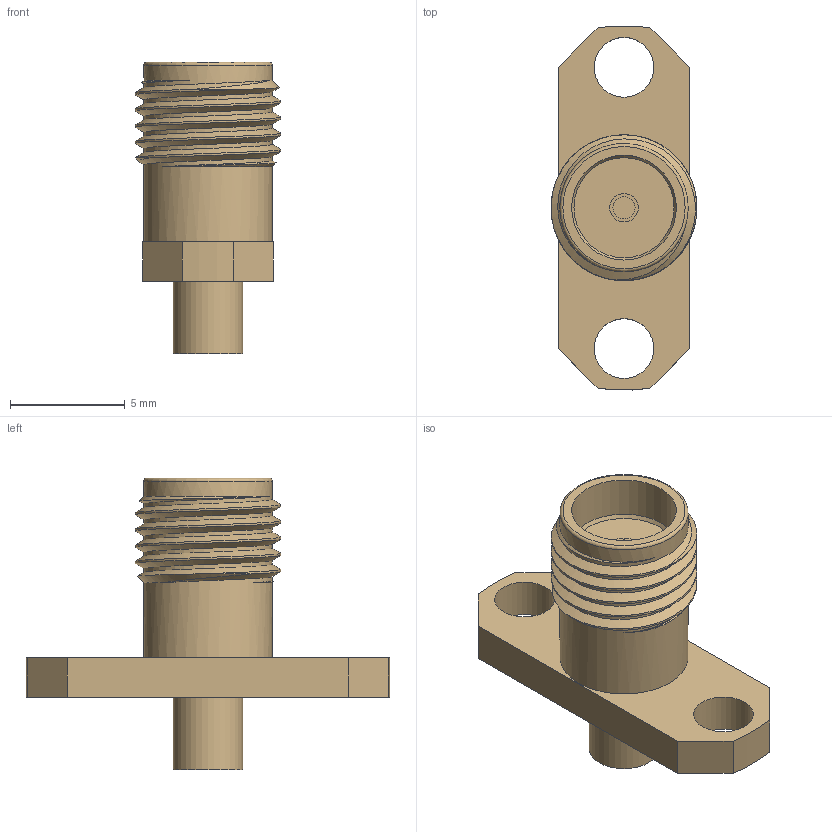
import cadquery as cq
import math

flange_width = 5.7
flange_length = 15.86
flange_thickness = 1.72
corner_end_half_width = 1.13
mounting_hole_diameter = 2.6
mounting_hole_pitch = 12.24

total_height = 12.7
stub_diameter = 3.04
stub_length = 3.16
top_z = total_height - stub_length

inch = 25.4
threads_per_inch = 36
thread_major_radius = inch / 4 / 2
thread_pitch = inch / threads_per_inch
flank_angle = math.radians(30)
crest_width = thread_pitch / 8
sharp_height = thread_pitch / (2 * math.tan(flank_angle))
thread_depth = sharp_height * 5 / 8
barrel_radius = thread_major_radius - thread_depth
thread_length = 3.76
top_land = 0.79
thread_top_z = top_z - top_land
thread_bottom_z = thread_top_z - thread_length
tooth_embed = 0.06

rim_fillet = 0.13
bore_radius = 2.28
bore_depth = 1.82
seat_radius = 2.18
seat_depth = 1.98

contact_radius = 0.62
contact_rise = 0.06
socket_radius = 0.48
socket_depth = 1.5


def make_flange():
    """Plate with 45 degree corners, rounded ends and two mounting holes."""
    half_width = flange_width / 2
    end_y = flange_length / 2
    corner_y = math.sqrt(end_y**2 - corner_end_half_width**2)
    side_y = corner_y - (half_width - corner_end_half_width)
    plate = (
        cq.Workplane("XY")
        .moveTo(half_width, -side_y)
        .lineTo(half_width, side_y)
        .lineTo(corner_end_half_width, corner_y)
        .threePointArc((0, end_y), (-corner_end_half_width, corner_y))
        .lineTo(-half_width, side_y)
        .lineTo(-half_width, -side_y)
        .lineTo(-corner_end_half_width, -corner_y)
        .threePointArc((0, -end_y), (corner_end_half_width, -corner_y))
        .close()
        .extrude(flange_thickness)
    )
    holes = (
        cq.Workplane("XY")
        .rarray(1, mounting_hole_pitch, 1, 2)
        .circle(mounting_hole_diameter / 2)
        .extrude(flange_thickness)
    )
    return plate.cut(holes)


def make_stub():
    """Plain cylinder below the flange."""
    return cq.Workplane("XY").circle(stub_diameter / 2).extrude(-stub_length)


def make_barrel():
    """Solid barrel with a rounded rim."""
    return (
        cq.Workplane("XY")
        .circle(barrel_radius)
        .extrude(top_z)
        .faces(">Z")
        .edges()
        .fillet(rim_fillet)
    )


def make_thread():
    """Right-hand helical tooth, cut back by 45 degree cones at both ends."""
    inner_radius = barrel_radius - tooth_embed
    half_crest = crest_width / 2
    half_base = half_crest + (thread_depth + tooth_embed) * math.tan(flank_angle)
    helix_bottom_z = thread_bottom_z - thread_pitch
    helix = cq.Wire.makeHelix(
        thread_pitch,
        thread_length + 2 * thread_pitch,
        barrel_radius,
        center=cq.Vector(0, 0, helix_bottom_z),
    )
    tooth = (
        cq.Workplane("XZ")
        .polyline(
            [
                (inner_radius, helix_bottom_z - half_base),
                (thread_major_radius, helix_bottom_z - half_crest),
                (thread_major_radius, helix_bottom_z + half_crest),
                (inner_radius, helix_bottom_z + half_base),
            ]
        )
        .close()
        .sweep(helix, isFrenet=True)
    )
    cone_rise = thread_depth + thread_pitch
    envelope_radius = barrel_radius + cone_rise
    envelope = (
        cq.Workplane("XZ")
        .polyline(
            [
                (0, thread_bottom_z),
                (barrel_radius, thread_bottom_z),
                (envelope_radius, thread_bottom_z + cone_rise),
                (envelope_radius, thread_top_z - cone_rise),
                (barrel_radius, thread_top_z),
                (0, thread_top_z),
            ]
        )
        .close()
        .revolve(360, (0, 0), (0, 1))
    )
    return tooth.intersect(envelope)


def make_mouth():
    """Open bore at the top, narrowing through a short cone to its flat floor."""
    return (
        cq.Workplane("XZ")
        .polyline(
            [
                (0, top_z),
                (bore_radius, top_z),
                (bore_radius, top_z - bore_depth),
                (seat_radius, top_z - seat_depth),
                (0, top_z - seat_depth),
            ]
        )
        .close()
        .revolve(360, (0, 0), (0, 1))
    )


def add_contact(body):
    """Centre contact standing slightly above the bore floor, with a blind socket."""
    floor_z = top_z - seat_depth
    contact = cq.Workplane("XY", origin=(0, 0, floor_z)).circle(contact_radius).extrude(contact_rise)
    contact_top = cq.Workplane("XY", origin=(0, 0, floor_z + contact_rise))
    socket = contact_top.circle(socket_radius).extrude(-socket_depth)
    return body.union(contact).cut(socket)


body = make_flange().union(make_stub()).union(make_barrel())
body = body.union(make_thread())
body = body.cut(make_mouth())
result = add_contact(body)